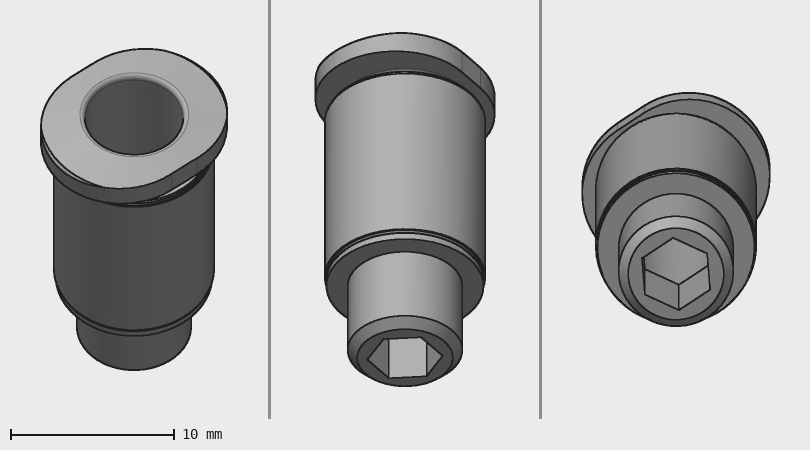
import cadquery as cq

height = 20.9
head_width = 9.8
head_length = 11.8

sleeve_diameter = 9.8
collar_diameter = 9.6
neck_diameter = 7.4
pin_diameter = 7.0

head_thickness = 1.84
neck_gap = 0.8
upper_collar_height = 0.3
lower_collar_height = 0.45
sleeve_gap = 0.23
pin_length = 5.45

head_cone_drop = 0.42
head_edge_chamfer = 0.19
neck_fillet = 0.31
collar_chamfer = 0.08
pin_chamfer = 0.59

bore_diameter = 6.0
bore_rim_fillet = 0.31
hex_across_flats = 4.0

bore_mouth_radius = bore_diameter / 2 + bore_rim_fillet

head_bottom = height - head_thickness
collar_top = head_bottom - neck_gap
sleeve_top = collar_top - upper_collar_height
lower_collar_top = pin_length + lower_collar_height
sleeve_bottom = lower_collar_top + sleeve_gap


def cylinder(diameter, bottom, top):
    return cq.Workplane("XY").workplane(offset=bottom).circle(diameter / 2).extrude(top - bottom)


def make_head():
    """Oblong plate whose top is a shallow cone with a chamfered round rim."""
    outer_radius = head_length / 2
    cone_radius = outer_radius - head_edge_chamfer
    cone_end = height - head_cone_drop
    turned = (
        cq.Workplane("XZ")
        .moveTo(0, head_bottom)
        .lineTo(outer_radius, head_bottom)
        .lineTo(outer_radius, cone_end - head_edge_chamfer)
        .lineTo(cone_radius, cone_end)
        .lineTo(bore_mouth_radius, height)
        .lineTo(0, height)
        .close()
        .revolve(360, (0, 0, 0), (0, 1, 0))
    )
    oblong = (
        cq.Workplane("XY")
        .workplane(offset=head_bottom)
        .slot2D(head_length, head_width, 90)
        .extrude(head_thickness)
    )
    return turned.intersect(oblong)


def make_neck():
    """Neck flaring into the underside of the head with a concave round."""
    radius = neck_diameter / 2
    return (
        cq.Workplane("XZ")
        .moveTo(0, collar_top)
        .lineTo(radius, collar_top)
        .lineTo(radius, head_bottom - neck_fillet)
        .radiusArc((radius + neck_fillet, head_bottom), neck_fillet)
        .lineTo(0, head_bottom)
        .close()
        .revolve(360, (0, 0, 0), (0, 1, 0))
    )


def make_body():
    """Sleeve between two collars, with a V-shaped gap above the lower collar."""
    upper_collar = cylinder(collar_diameter, sleeve_top, collar_top).faces(">Z").chamfer(collar_chamfer)
    sleeve = cylinder(sleeve_diameter, sleeve_bottom, sleeve_top)
    collar_radius = collar_diameter / 2
    gap_depth = sleeve_gap / 2
    gap_core = (
        cq.Workplane("XZ")
        .moveTo(0, lower_collar_top)
        .lineTo(collar_radius, lower_collar_top)
        .lineTo(collar_radius - gap_depth, lower_collar_top + gap_depth)
        .lineTo(collar_radius, sleeve_bottom)
        .lineTo(0, sleeve_bottom)
        .close()
        .revolve(360, (0, 0, 0), (0, 1, 0))
    )
    lower_collar = cylinder(collar_diameter, pin_length, lower_collar_top)
    return upper_collar.union(sleeve).union(gap_core).union(lower_collar)


def make_pin():
    return cylinder(pin_diameter, 0, pin_length).faces("<Z").chamfer(pin_chamfer)


def make_bore():
    """Round bore with a rounded mouth, ending on a floor level with the top of the pin."""
    radius = bore_diameter / 2
    return (
        cq.Workplane("XZ")
        .moveTo(0, pin_length)
        .lineTo(radius, pin_length)
        .lineTo(radius, height - bore_rim_fillet)
        .radiusArc((bore_mouth_radius, height), bore_rim_fillet)
        .lineTo(0, height)
        .close()
        .revolve(360, (0, 0, 0), (0, 1, 0))
    )


def make_hex_socket():
    """Hexagonal hole through the pin, with two corners on the Y axis."""
    return (
        cq.Workplane("XY")
        .polygon(6, hex_across_flats, circumscribed=True)
        .extrude(pin_length)
    )


outside = make_head().union(make_neck()).union(make_body()).union(make_pin())
result = outside.cut(make_bore()).cut(make_hex_socket())